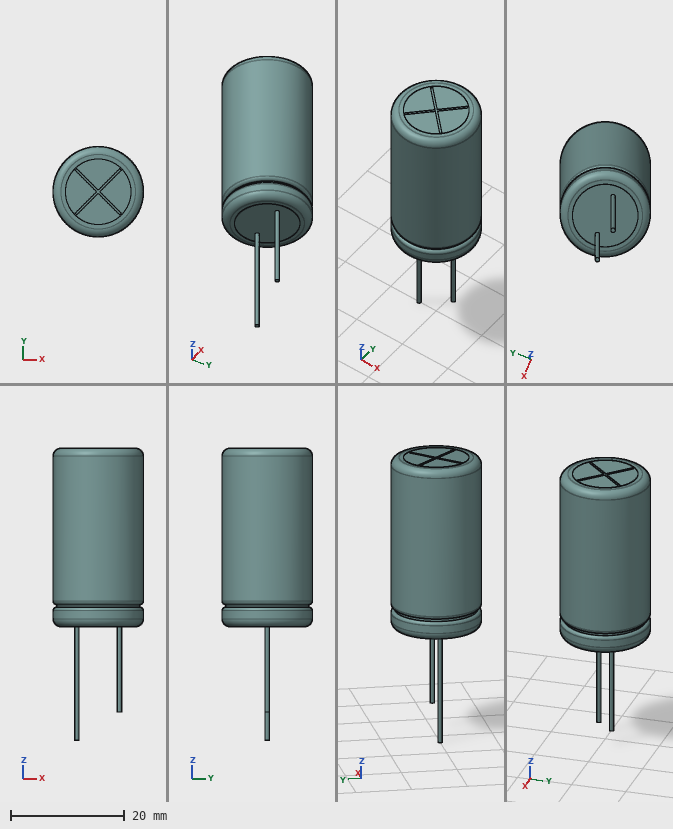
import cadquery as cq
import math

can_height = 31.5
sleeve_radius = 16.0 / 2
sleeve_thickness = 0.1
opening_radius = 11.56 / 2
end_radius = 1.43

bead_depth = 0.64
bead_floor_height = 0.4
bead_middle = 3.69
lower_lip_center = bead_middle - bead_floor_height / 2 - bead_depth
upper_lip_center = bead_middle + bead_floor_height / 2 + bead_depth

vent_length = 11.1
vent_width = 0.4
vent_depth = 0.1

lead_diameter = 0.8
lead_pitch = 7.5
long_lead_length = 20.0
short_lead_length = 15.0


def quarter_arc(outline, center, radius, start_angle):
    """Continue the outline with a straight line, then a counterclockwise quarter circle."""

    def on_circle(degrees):
        angle = math.radians(degrees)
        return (center[0] + radius * math.cos(angle), center[1] + radius * math.sin(angle))

    start = on_circle(start_angle)
    middle = on_circle(start_angle + 45)
    end = on_circle(start_angle + 90)
    return outline.lineTo(*start).threePointArc(middle, end)


def beaded_cylinder(inset):
    """Round-ended cylinder with the bead, every surface set in by the given amount."""
    bottom = inset
    top = can_height - inset
    corner_x = sleeve_radius - end_radius
    corner_radius = end_radius - inset
    lip_x = sleeve_radius - bead_depth
    lip_radius = bead_depth - inset
    floor_x = lip_x - inset

    outline = cq.Workplane("XZ").moveTo(0, bottom)
    outline = quarter_arc(outline, (corner_x, end_radius), corner_radius, -90)
    outline = quarter_arc(outline, (lip_x, lower_lip_center), lip_radius, 0)
    if inset > 0:
        outline = outline.lineTo(floor_x, lower_lip_center + lip_radius)
        outline = outline.lineTo(floor_x, upper_lip_center - lip_radius)
    outline = quarter_arc(outline, (lip_x, upper_lip_center), lip_radius, -90)
    outline = quarter_arc(outline, (corner_x, can_height - end_radius), corner_radius, 0)
    return outline.lineTo(0, top).close().revolve(360, (0, 0, 0), (0, 1, 0))


def make_sleeve():
    """Thin sleeve that wraps the can, open in the middle at both ends."""
    openings = cq.Workplane("XY").circle(opening_radius).extrude(can_height)
    return beaded_cylinder(0).cut(beaded_cylinder(sleeve_thickness)).cut(openings)


def make_vent_score():
    """Two crossed grooves at 45 degrees in the top of the can."""
    floor = can_height - sleeve_thickness - vent_depth
    plane = cq.Workplane("XY", origin=(0, 0, floor))
    cross = plane.rect(vent_length, vent_width).extrude(vent_depth)
    cross = cross.union(plane.rect(vent_width, vent_length).extrude(vent_depth))
    return cross.rotate((0, 0, 0), (0, 0, 1), 45)


def make_lead(x, length):
    """Round lead running from the bottom of the can to the given length below the sleeve."""
    return (
        cq.Workplane("XY", origin=(x, 0, -length))
        .circle(lead_diameter / 2)
        .extrude(length + sleeve_thickness)
    )


def make_can():
    """Can with its vent score and its two leads of different length."""
    can = beaded_cylinder(sleeve_thickness).cut(make_vent_score())
    can = can.union(make_lead(-lead_pitch / 2, long_lead_length))
    return can.union(make_lead(lead_pitch / 2, short_lead_length))


can = make_can()
sleeve = make_sleeve()

result = cq.Compound.makeCompound([can.val(), sleeve.val()])